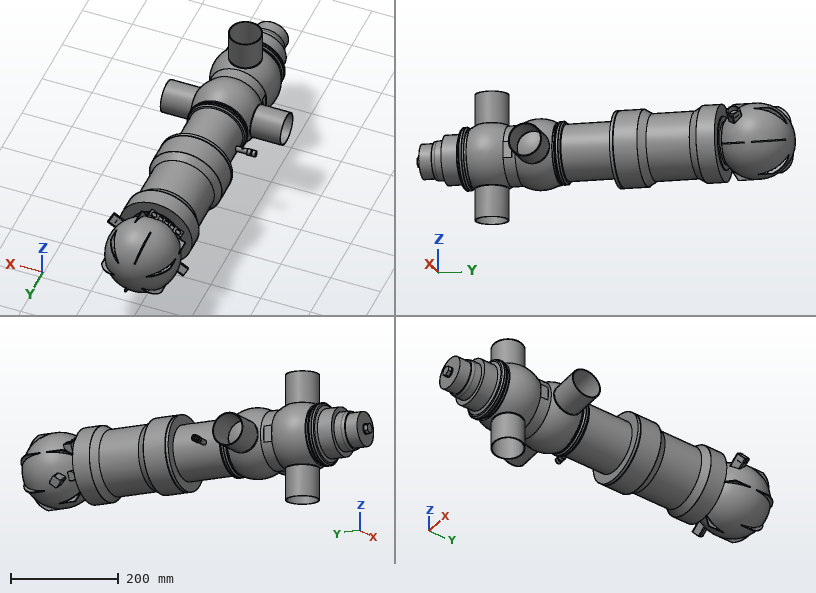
import cadquery as cq
import math

TOTAL_LENGTH = 722.0
PIPE_SPAN = 240.0

PIPE_DIAMETER = 63.5
PIPE_BORE = 60.0
CHAMBER_RADIUS = 67.0
WAIST_RADIUS = 57.0
UPPER_CHAMBER_Y = 235.0
LOWER_CHAMBER_Y = 141.5
HOUSING_TOP_Y = 274.0
HOUSING_BOTTOM_Y = 101.0
WAIST_FLAT_DISTANCE = 55.0
WAIST_FLAT_LENGTH = 16.5

CLAMP_RADIUS = 119.0 / 2
CLAMP_HEIGHT = 12.0
CLAMP_CHAMFER = 3.0
CLAMP_FACE_SLOPE = 1.1
CLAMP_GROOVE_WIDTH = 4.0
CLAMP_GROOVE_DEPTH = 1.1

PLUG_RADIUS = 94.5 / 2
PLUG_FLANGE_CONE = 2.5
PLUG_SHOULDER_Y = 55.5
PLUG_STEP_RADIUS = 37.5
PLUG_CONE_TOP_Y = 40.5
PLUG_CONE_BOTTOM_Y = 34.0
PLUG_CONE_END_RADIUS = 36.0
PLUG_TIP_RADIUS = 33.0
PLUG_TIP_Y = 9.5
WASHER_RADIUS = 10.0
WASHER_HEIGHT = 2.0
PLUG_NUT_FLATS = 17.0
PLUG_NUT_TURN = 30.0

TUBE_RADIUS = 107.5 / 2
ACTUATOR_RADIUS = 146.0 / 2
ACTUATOR_BODY_RADIUS = 63.5
ACTUATOR_CONE_RADIUS = 72.0
ACTUATOR_BOTTOM_Y = 385.5
ACTUATOR_TOP_Y = 587.0
LOWER_BAND_TOP_Y = 438.0
UPPER_BAND_BOTTOM_Y = 551.5
CONE_HEIGHT = 15.0
RIM_HEIGHT = 6.5
RIM_GROOVE = 1.0
TOP_PLATE_RADIUS = 50.5
TOP_PLATE_HEIGHT = 2.0

NIPPLE_Y = 320.0
NIPPLE_TIP_X = -93.0
NIPPLE_HEAD_LENGTH = 16.5
NIPPLE_HEAD_DIAMETER = 12.0
NIPPLE_STEM_DIAMETER = 10.0
NIPPLE_BORE = 8.0
NIPPLE_BORE_DEPTH = 7.0
NIPPLE_GROOVE_DIAMETER = 11.0
NIPPLE_GROOVE_WIDTH = 2.0
NIPPLE_SIDE_HOLE_DIAMETER = 3.0
NIPPLE_SIDE_HOLE_X = -67.0

HEAD_RADIUS = 71.5
HEAD_CENTRE_Y = TOTAL_LENGTH - HEAD_RADIUS
HEAD_BASE_Y = 592.5
HEAD_NECK_RADIUS = 40.5
HEAD_TURN = -30.0
FIN_THICKNESS = 2.0
FIN_RADIUS = 71.1
FIN_ROOT_RADIUS = 29.0
UPPER_FIN_COUNT = 6
UPPER_FIN_START = 15.0
LOWER_FIN_COUNT = 4
LOWER_FIN_START = 45.0
UPPER_FIN_CORNER_Y = 685.0
LOWER_FIN_CORNER_Y = 610.0
UPPER_FIN_SHOULDER = (63.0, 698.0)
UPPER_FIN_TIP_Y = 714.0

FITTING_Y = 623.0
GLAND_SIDE = 21.0
GLAND_REACH = 86.5
GLAND_BORE = 19.0
GLAND_BORE_DEPTH = 11.0
SQUARE_PLUG_SIDE = 18.0
SQUARE_PLUG_REACH = 86.0
FITTING_CHAMFER = 2.0
FITTING_ROOT = 36.0
BOSS_Y = 603.0
BOSS_DIAMETER = 19.0
BOSS_REACH = 57.0

PANEL_Y = 605.0
PANEL_HEIGHT = 15.0
PANEL_LENGTH = 73.5
PANEL_DISTANCE = 57.0
PANEL_ROOT = 22.0
WINDOW_COUNT = 3
WINDOW_PITCH = 13.0
WINDOW_WIDTH = 9.0
WINDOW_HEIGHT = 11.0
BUTTON_OFFSET = 27.5
BUTTON_DIAMETER = 11.0
PANEL_RECESS = 1.5

AXIS_START = (0, 0, 0)
AXIS_END = (0, 1, 0)


def turned(points):
    """Revolve a closed outline of (radius, y) points about the Y axis."""
    return cq.Workplane("XY").polyline(points).close().revolve(360, AXIS_START, AXIS_END)


def make_clamp(seat_y, direction):
    """A clamp ring on a housing end, with a grooved rim, that rises towards +Y (1) or -Y (-1)."""
    edge_radius = CLAMP_RADIUS - CLAMP_CHAMFER
    groove_radius = CLAMP_RADIUS - CLAMP_GROOVE_DEPTH
    groove_start = (CLAMP_HEIGHT - CLAMP_GROOVE_WIDTH) / 2
    groove_end = (CLAMP_HEIGHT + CLAMP_GROOVE_WIDTH) / 2
    profile = [
        (TUBE_RADIUS, 0),
        (edge_radius, 0),
        (CLAMP_RADIUS, CLAMP_CHAMFER),
        (CLAMP_RADIUS, groove_start),
        (groove_radius, groove_start),
        (groove_radius, groove_end),
        (CLAMP_RADIUS, groove_end),
        (CLAMP_RADIUS, CLAMP_HEIGHT - CLAMP_CHAMFER),
        (edge_radius, CLAMP_HEIGHT),
        (TUBE_RADIUS, CLAMP_HEIGHT + CLAMP_FACE_SLOPE),
    ]
    return turned([(radius, seat_y + direction * height) for radius, height in profile])


def make_pipe_pair(plane, centre_y):
    """Two opposite open pipes that meet in the middle of their chamber."""
    return (
        cq.Workplane(plane, origin=(0, centre_y, 0))
        .circle(PIPE_DIAMETER / 2)
        .circle(PIPE_BORE / 2)
        .extrude(PIPE_SPAN / 2, both=True)
    )


def make_chambers():
    """Two ball chambers joined by a waist, with a short neck at each end, as one turned solid."""
    ball_offset = math.sqrt(CHAMBER_RADIUS**2 - WAIST_RADIUS**2)
    return (
        cq.Workplane("XY")
        .moveTo(0, HOUSING_BOTTOM_Y)
        .lineTo(TUBE_RADIUS, HOUSING_BOTTOM_Y)
        .lineTo(TUBE_RADIUS, LOWER_CHAMBER_Y - ball_offset)
        .lineTo(WAIST_RADIUS, LOWER_CHAMBER_Y - ball_offset)
        .threePointArc((CHAMBER_RADIUS, LOWER_CHAMBER_Y), (WAIST_RADIUS, LOWER_CHAMBER_Y + ball_offset))
        .lineTo(WAIST_RADIUS, UPPER_CHAMBER_Y - ball_offset)
        .threePointArc((CHAMBER_RADIUS, UPPER_CHAMBER_Y), (WAIST_RADIUS, UPPER_CHAMBER_Y + ball_offset))
        .lineTo(TUBE_RADIUS, UPPER_CHAMBER_Y + ball_offset)
        .lineTo(TUBE_RADIUS, HOUSING_TOP_Y)
        .lineTo(0, HOUSING_TOP_Y)
        .close()
        .revolve(360, AXIS_START, AXIS_END)
    )


def make_housing():
    """The chambers with a flat on each side of the waist and two crossed pairs of pipes."""
    housing = make_chambers()
    flat_bottom = LOWER_CHAMBER_Y + math.sqrt(CHAMBER_RADIUS**2 - WAIST_RADIUS**2)
    flat_depth = CHAMBER_RADIUS - WAIST_FLAT_DISTANCE
    flat_cutter = cq.Workplane("XY").box(flat_depth, WAIST_FLAT_LENGTH, 2 * WAIST_RADIUS)
    for side in (-1, 1):
        flat_x = side * (WAIST_FLAT_DISTANCE + flat_depth / 2)
        housing = housing.cut(flat_cutter.translate((flat_x, flat_bottom + WAIST_FLAT_LENGTH / 2, 0)))
    for plane, centre_y in (("YZ", UPPER_CHAMBER_Y), ("XY", LOWER_CHAMBER_Y)):
        housing = housing.union(make_pipe_pair(plane, centre_y))
    return housing


def make_plug():
    """The stepped plug, its flange inside the lower clamp, and the nut on its end."""
    flange_y = HOUSING_BOTTOM_Y - CLAMP_HEIGHT - CLAMP_FACE_SLOPE
    plug = turned([
        (0, PLUG_TIP_Y - WASHER_HEIGHT),
        (WASHER_RADIUS, PLUG_TIP_Y - WASHER_HEIGHT),
        (WASHER_RADIUS, PLUG_TIP_Y),
        (PLUG_TIP_RADIUS, PLUG_TIP_Y),
        (PLUG_TIP_RADIUS, PLUG_CONE_BOTTOM_Y),
        (PLUG_CONE_END_RADIUS, PLUG_CONE_BOTTOM_Y),
        (PLUG_STEP_RADIUS, PLUG_CONE_TOP_Y),
        (PLUG_STEP_RADIUS, PLUG_SHOULDER_Y),
        (PLUG_RADIUS, PLUG_SHOULDER_Y),
        (PLUG_RADIUS, flange_y - PLUG_FLANGE_CONE),
        (TUBE_RADIUS, flange_y),
        (TUBE_RADIUS, HOUSING_BOTTOM_Y),
        (0, HOUSING_BOTTOM_Y),
    ])
    nut_corners = PLUG_NUT_FLATS / math.cos(math.pi / 6)
    nut = (
        cq.Workplane("XZ")
        .polygon(6, nut_corners)
        .extrude(-PLUG_TIP_Y)
        .rotate(AXIS_START, AXIS_END, PLUG_NUT_TURN)
    )
    return plug.union(nut)


def make_nipple():
    """The nipple that stands out from the tube on the -X side."""
    head_end_x = NIPPLE_TIP_X + NIPPLE_HEAD_LENGTH
    tip = cq.Workplane("YZ", origin=(NIPPLE_TIP_X, NIPPLE_Y, 0))
    stem = tip.circle(NIPPLE_STEM_DIAMETER / 2).extrude(-NIPPLE_TIP_X - TUBE_RADIUS / 2)
    head = tip.circle(NIPPLE_HEAD_DIAMETER / 2).extrude(NIPPLE_HEAD_LENGTH)
    groove = (
        cq.Workplane("YZ", origin=((NIPPLE_TIP_X + head_end_x) / 2, NIPPLE_Y, 0))
        .circle(NIPPLE_HEAD_DIAMETER)
        .circle(NIPPLE_GROOVE_DIAMETER / 2)
        .extrude(NIPPLE_GROOVE_WIDTH / 2, both=True)
    )
    bore = tip.circle(NIPPLE_BORE / 2).extrude(NIPPLE_BORE_DEPTH)
    side_hole = (
        cq.Workplane("XY", origin=(NIPPLE_SIDE_HOLE_X, NIPPLE_Y, 0))
        .circle(NIPPLE_SIDE_HOLE_DIAMETER / 2)
        .extrude(NIPPLE_STEM_DIAMETER)
    )
    return stem.union(head.cut(groove)).cut(bore).cut(side_hole)


def make_actuator():
    """The banded actuator cylinder, the tube below it and the nipple on the tube."""
    rim_y = ACTUATOR_BOTTOM_Y + RIM_HEIGHT
    plate_y = ACTUATOR_TOP_Y + TOP_PLATE_HEIGHT
    actuator = turned([
        (0, HOUSING_TOP_Y),
        (TUBE_RADIUS, HOUSING_TOP_Y),
        (TUBE_RADIUS, ACTUATOR_BOTTOM_Y),
        (ACTUATOR_RADIUS, ACTUATOR_BOTTOM_Y),
        (ACTUATOR_RADIUS, rim_y - RIM_GROOVE),
        (ACTUATOR_RADIUS - RIM_GROOVE, rim_y),
        (ACTUATOR_RADIUS, rim_y + RIM_GROOVE),
        (ACTUATOR_RADIUS, LOWER_BAND_TOP_Y),
        (ACTUATOR_CONE_RADIUS, LOWER_BAND_TOP_Y),
        (ACTUATOR_BODY_RADIUS, LOWER_BAND_TOP_Y + CONE_HEIGHT),
        (ACTUATOR_BODY_RADIUS, UPPER_BAND_BOTTOM_Y - CONE_HEIGHT),
        (ACTUATOR_CONE_RADIUS, UPPER_BAND_BOTTOM_Y),
        (ACTUATOR_RADIUS, UPPER_BAND_BOTTOM_Y),
        (ACTUATOR_RADIUS, ACTUATOR_TOP_Y),
        (TOP_PLATE_RADIUS, ACTUATOR_TOP_Y),
        (TOP_PLATE_RADIUS, plate_y),
        (0, plate_y),
    ])
    return actuator.union(make_nipple())


def make_fins(profile, count, start_angle):
    """Thin radial fins, evenly spaced about the Y axis; angles run from +Z towards +X."""
    fin = profile.extrude(FIN_THICKNESS / 2, both=True)
    angles = [start_angle + index * 360 / count for index in range(count)]
    return [fin.rotate(AXIS_START, AXIS_END, angle - 90) for angle in angles]


def upper_fin_profile():
    """Outline of a fin that rounds over onto the crown of the head."""
    return (
        cq.Workplane("XY")
        .moveTo(FIN_ROOT_RADIUS, HEAD_CENTRE_Y)
        .lineTo(FIN_RADIUS, HEAD_CENTRE_Y)
        .lineTo(FIN_RADIUS, UPPER_FIN_CORNER_Y)
        .threePointArc(UPPER_FIN_SHOULDER, (FIN_ROOT_RADIUS, UPPER_FIN_TIP_Y))
        .close()
    )


def lower_fin_profile():
    """Outline of a fin that slopes in to the base of the head."""
    return cq.Workplane("XY").polyline([
        (FIN_ROOT_RADIUS, HEAD_CENTRE_Y),
        (FIN_RADIUS, HEAD_CENTRE_Y),
        (FIN_RADIUS, LOWER_FIN_CORNER_Y),
        (HEAD_NECK_RADIUS, HEAD_BASE_Y),
        (FIN_ROOT_RADIUS, HEAD_BASE_Y),
    ]).close()


def make_square_fitting(side, reach, direction):
    """A square block on its corner, with bevelled edges, that points along +X (1) or -X (-1)."""
    return (
        cq.Workplane("YZ", origin=(direction * FITTING_ROOT, FITTING_Y, 0))
        .polygon(4, side * math.sqrt(2))
        .extrude(direction * (reach - FITTING_ROOT))
        .edges("|X")
        .chamfer(FITTING_CHAMFER)
    )


def make_gland():
    """The cable gland on the +X side of the unturned head, bored from its outer end."""
    bore = (
        cq.Workplane("YZ", origin=(GLAND_REACH - GLAND_BORE_DEPTH, FITTING_Y, 0))
        .circle(GLAND_BORE / 2)
        .extrude(GLAND_BORE_DEPTH)
    )
    return make_square_fitting(GLAND_SIDE, GLAND_REACH, 1).cut(bore)


def make_square_plug():
    """The square plug on the -X side of the unturned head."""
    return make_square_fitting(SQUARE_PLUG_SIDE, SQUARE_PLUG_REACH, -1)


def make_boss():
    """The round boss below the square plug."""
    return (
        cq.Workplane("YZ", origin=(-FITTING_ROOT, BOSS_Y, 0))
        .circle(BOSS_DIAMETER / 2)
        .extrude(FITTING_ROOT - BOSS_REACH)
    )


def make_panel():
    """The flat indicator panel on the +Z side of the unturned head, with shallow recesses."""
    panel = (
        cq.Workplane("XY", origin=(0, PANEL_Y, PANEL_ROOT))
        .rect(PANEL_LENGTH, PANEL_HEIGHT)
        .extrude(PANEL_DISTANCE - PANEL_ROOT)
    )
    recess_floor = cq.Workplane("XY", origin=(0, PANEL_Y, PANEL_DISTANCE - PANEL_RECESS))
    windows = (
        recess_floor.rarray(WINDOW_PITCH, 7, WINDOW_COUNT, 1)
        .rect(WINDOW_WIDTH, WINDOW_HEIGHT)
        .extrude(PANEL_RECESS)
    )
    buttons = (
        recess_floor.pushPoints([(-BUTTON_OFFSET, 0), (BUTTON_OFFSET, 0)])
        .circle(BUTTON_DIAMETER / 2)
        .extrude(PANEL_RECESS)
    )
    return panel.cut(windows).cut(buttons)


def make_ball():
    """The ball of the head, cut flat at its base, on the neck that stands on the actuator."""
    plate_y = ACTUATOR_TOP_Y + TOP_PLATE_HEIGHT
    base_radius = math.sqrt(HEAD_RADIUS**2 - (HEAD_CENTRE_Y - HEAD_BASE_Y)**2)
    return (
        cq.Workplane("XY")
        .moveTo(0, plate_y)
        .lineTo(HEAD_NECK_RADIUS, plate_y)
        .lineTo(HEAD_NECK_RADIUS, HEAD_BASE_Y)
        .lineTo(base_radius, HEAD_BASE_Y)
        .threePointArc((HEAD_RADIUS, HEAD_CENTRE_Y), (0, TOTAL_LENGTH))
        .close()
        .revolve(360, AXIS_START, AXIS_END)
    )


def make_head():
    """The control head: the ball with its fins, fittings and panel, turned about Y."""
    head = make_ball()
    fins = make_fins(upper_fin_profile(), UPPER_FIN_COUNT, UPPER_FIN_START)
    fins += make_fins(lower_fin_profile(), LOWER_FIN_COUNT, LOWER_FIN_START)
    for fin in fins:
        head = head.union(fin)
    for fitting in (make_gland(), make_square_plug(), make_boss(), make_panel()):
        head = head.union(fitting)
    return head.rotate(AXIS_START, AXIS_END, HEAD_TURN)


housing = make_housing()
plug = make_plug()
actuator = make_actuator()
head = make_head()
clamps = [make_clamp(seat_y, direction) for seat_y, direction in ((HOUSING_TOP_Y, 1), (HOUSING_BOTTOM_Y, -1))]

result = cq.Compound.makeCompound([
    *housing.solids().vals(),
    *plug.solids().vals(),
    *actuator.solids().vals(),
    *head.solids().vals(),
    *[clamp.val() for clamp in clamps],
])